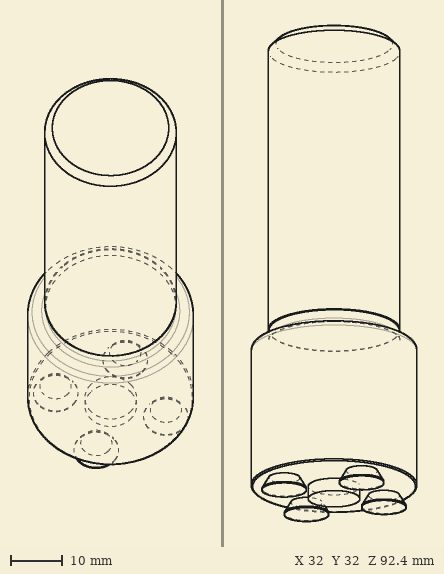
import cadquery as cq
import math

total_height = 92.4
shank_diameter = 25.4
neck_diameter = 25.1
body_diameter = 32.0

body_bottom = 2.5
shoulder_edge = 30.9
neck_top = 34.2

shoulder_slope = 15

shank_chamfer = 1.5
body_top_fillet = 1.1
body_bottom_chamfer = 0.3
neck_fillet = 1.0

pin_diameter = 10.0
foot_root_diameter = 6.0
foot_rim_diameter = 8.6
foot_rim_height = 0.3
foot_offset = 7.8

shank_radius = shank_diameter / 2
neck_radius = neck_diameter / 2
body_radius = body_diameter / 2
neck_step = shank_radius - neck_radius
shoulder_rise = (body_radius - neck_radius) * math.tan(math.radians(shoulder_slope))
shoulder_top = shoulder_edge + shoulder_rise


def make_turned_body():
    """Revolve the shank, relieved neck, sloping shoulder and body about Z."""
    profile = (
        cq.Workplane("XZ")
        .moveTo(0, body_bottom)
        .lineTo(body_radius - body_bottom_chamfer, body_bottom)
        .lineTo(body_radius, body_bottom + body_bottom_chamfer)
        .lineTo(body_radius, shoulder_edge)
        .lineTo(neck_radius, shoulder_top)
        .lineTo(neck_radius, neck_top)
        .lineTo(shank_radius, neck_top + neck_step)
        .lineTo(shank_radius, total_height - shank_chamfer)
        .lineTo(shank_radius - shank_chamfer, total_height)
        .lineTo(0, total_height)
        .close()
    )
    turned = profile.revolve(360, (0, 0, 0), (0, 1, 0))
    turned = turned.edges(cq.NearestToPointSelector((0, 0, shoulder_edge))).fillet(body_top_fillet)
    return turned.edges(cq.NearestToPointSelector((0, 0, shoulder_top))).fillet(neck_fillet)


def make_foot(x, y):
    """Revolve one foot: a cone widening downward to a thin cylindrical rim."""
    profile = (
        cq.Workplane("XZ")
        .moveTo(0, 0)
        .lineTo(foot_rim_diameter / 2, 0)
        .lineTo(foot_rim_diameter / 2, foot_rim_height)
        .lineTo(foot_root_diameter / 2, body_bottom)
        .lineTo(0, body_bottom)
        .close()
    )
    return profile.revolve(360, (0, 0, 0), (0, 1, 0)).translate((x, y, 0))


pin = cq.Workplane("XY").circle(pin_diameter / 2).extrude(body_bottom)
result = make_turned_body().union(pin)
for x in (-foot_offset, foot_offset):
    for y in (-foot_offset, foot_offset):
        result = result.union(make_foot(x, y))